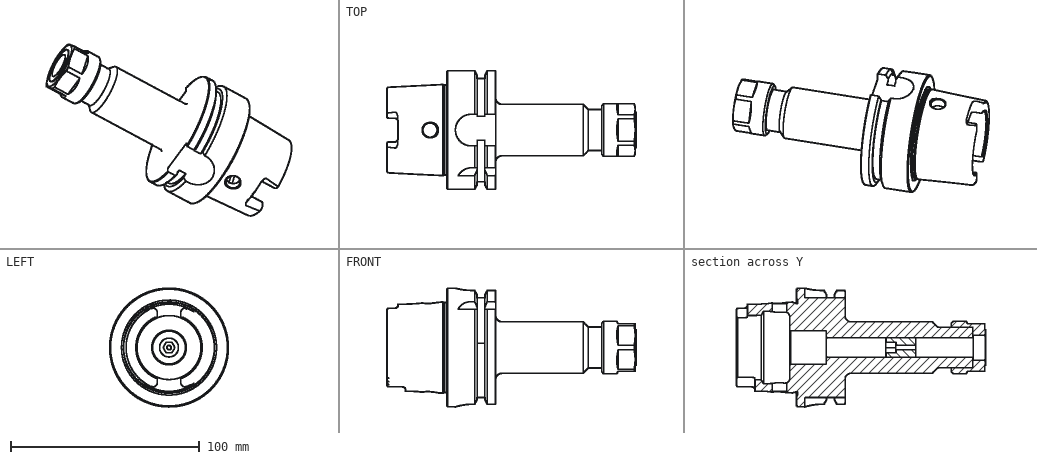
import cadquery as cq
import math


shank_end_radius = 22.7
taper_per_length = 0.05
taper_length = 29.7
relief_start = 30.5
relief_radius = 23.9
shank_end_rounding = 1.0

flange_face = 31.9
flange_end = 57.8
flange_radius = 31.53
flange_rear_chamfer = 0.5
flange_front_chamfer = 0.4

undercut_start = 31.5
undercut_depth = 0.5
undercut_inner_radius = 23.5
undercut_outer_radius = 25.3

groove_start = 47.9
groove_end = 52.0
groove_bevel_length = 1.3
groove_bevel_angle = 60
groove_floor_radius = 27.5
groove_bevel_depth = groove_bevel_length * math.tan(math.radians(groove_bevel_angle))

key_slot_end = 36.4
key_slot_floor = 26.51
key_slot_width_top = 16.8
key_slot_width_bottom = 18.8
key_slot_floor_fillet = 0.5
corner_notch_centre = 45.1
corner_notch_wall = 20.0
corner_notch_floor = 20.2
groove_flat_distance = 21.8
groove_flat_angle = 47.7

extension_radius = 13.7
extension_end = 104.0
root_fillet_radius = 3.2
neck_radius = 11.0
neck_cone_length = extension_radius - neck_radius
nose_end = 125.6

bore_radius = 16.99
bore_chamfer = 0.7
bore_length = 13.2
clamp_groove_radius = 19.0
clamp_groove_slope = 60
shank_bore_depth = 28.3
bore_floor_radius = 15.93
bore_floor_fillet = clamp_groove_radius - bore_floor_radius
cross_hole_x = 22.9
cross_hole_diameter = 7.5
cross_hole_chamfer = 0.7

coolant_bore_radius = 8.7
coolant_bore_chamfer = 0.46
coolant_bore_depth = 47.6
screw_bore_radius = 5.0

notch_depth_top = 5.8
notch_depth_bottom = 9.8
notch_half_width = 6.2
notch_flare_height = 18.5
notch_flare_radius = 2.4
notch_floor_fillet = 1.6
notch_inner_height = 10.6

screw_start = 79.3
screw_length = 15.9
screw_socket_flats = 5.4
screw_socket_depth = 5.3
screw_hole_diameter = 2.2

nut_start = 114.0
nut_end = 132.2
nut_radius = 14.0
nut_rear_chamfer = 1.0
nut_rim_radius = 9.5
nut_rim_height = 0.4
nut_front_chamfer_length = 0.7
nut_front_chamfer_depth = 1.7
nut_flat_distance = 12.7
nut_flat_start = 122.7
nut_flat_ramp = 0.9
nut_flat_ramp_angle = 60
nut_flat_count = 6
nut_opening_radius = 6.5

REACH = 39.7


def turned(profile):
    """Revolve a closed profile, drawn as (X, radius), about the X axis."""
    return profile.close().revolve(360, (0, 0, 0), (1, 0, 0))


def rod(start, end, radius):
    """Cylinder along the X axis."""
    return cq.Workplane("YZ", origin=(start, 0, 0)).circle(radius).extrude(end - start)


def shank_blank():
    """Solid taper with its relief, reaching to the flange face."""
    taper_end_radius = shank_end_radius + taper_per_length * taper_length
    return turned(
        cq.Workplane("XY")
        .lineTo(0, shank_end_radius)
        .lineTo(taper_length, taper_end_radius)
        .lineTo(relief_start, relief_radius)
        .lineTo(flange_face, relief_radius)
        .lineTo(flange_face, 0)
    )


def drive_notch(depth, side):
    """Cutter for one notch; its walls flare outward. side is +1 for +Z, -1 for -Z."""
    flare_y = notch_half_width + notch_flare_radius
    flare_top = notch_flare_height + notch_flare_radius
    bend = notch_flare_radius * math.sqrt(0.5)
    bend_y = flare_y - bend
    bend_z = notch_flare_height + bend
    outline = (
        cq.Workplane("YZ", origin=(-1.3, 0, 0))
        .moveTo(-notch_half_width, side * notch_inner_height)
        .lineTo(-notch_half_width, side * notch_flare_height)
        .threePointArc((-bend_y, side * bend_z), (-flare_y, side * flare_top))
        .lineTo(-REACH / 2, side * flare_top)
        .lineTo(-REACH / 2, side * REACH)
        .lineTo(REACH / 2, side * REACH)
        .lineTo(REACH / 2, side * flare_top)
        .lineTo(flare_y, side * flare_top)
        .threePointArc((bend_y, side * bend_z), (notch_half_width, side * notch_flare_height))
        .lineTo(notch_half_width, side * notch_inner_height)
        .close()
    )
    return outline.extrude(depth + 1.3).faces(">X").edges().fillet(notch_floor_fillet)


def shank():
    body = shank_blank()
    body = body.cut(drive_notch(notch_depth_top, 1))
    body = body.cut(drive_notch(notch_depth_bottom, -1))
    return body.faces("<X").edges().fillet(shank_end_rounding)


def flange_blank():
    """Turned flange with the gripping groove and the front extension down to the nose."""
    bevel_radius = flange_radius - groove_bevel_depth
    bend = root_fillet_radius * (1 - math.sqrt(0.5))
    return turned(
        cq.Workplane("XY")
        .moveTo(flange_face, 0)
        .lineTo(flange_face, flange_radius - flange_rear_chamfer)
        .lineTo(flange_face + flange_rear_chamfer, flange_radius)
        .lineTo(groove_start - groove_bevel_length, flange_radius)
        .lineTo(groove_start, bevel_radius)
        .lineTo(groove_start, groove_floor_radius)
        .lineTo(groove_end, groove_floor_radius)
        .lineTo(groove_end, bevel_radius)
        .lineTo(groove_end + groove_bevel_length, flange_radius)
        .lineTo(flange_end - flange_front_chamfer, flange_radius)
        .lineTo(flange_end, flange_radius - flange_front_chamfer)
        .lineTo(flange_end, extension_radius + root_fillet_radius)
        .threePointArc(
            (flange_end + bend, extension_radius + bend),
            (flange_end + root_fillet_radius, extension_radius),
        )
        .lineTo(extension_end, extension_radius)
        .lineTo(extension_end + neck_cone_length, neck_radius)
        .lineTo(nose_end, neck_radius)
        .lineTo(nose_end, 0)
    )


def face_undercut():
    bottom = flange_face + undercut_depth
    return turned(
        cq.Workplane("XY")
        .moveTo(undercut_start, relief_radius)
        .lineTo(flange_face, undercut_inner_radius)
        .lineTo(bottom, undercut_inner_radius)
        .lineTo(bottom, undercut_outer_radius)
        .lineTo(undercut_start, undercut_outer_radius)
    )


def round_end_cutter(width, centre_x, base_z):
    """Slot cutter standing on base_z, round toward the shank about centre_x, open toward +X."""
    half = width / 2
    return (
        cq.Workplane("XY", origin=(centre_x, 0, base_z))
        .moveTo(REACH, half)
        .lineTo(0, half)
        .threePointArc((-half, 0), (0, -half))
        .lineTo(REACH, -half)
        .close()
        .extrude(REACH)
    )


def key_slot(width):
    cutter = round_end_cutter(width, key_slot_end + width / 2, key_slot_floor)
    return cutter.faces("<Z").edges().fillet(key_slot_floor_fillet)


def corner_notch():
    cutter = round_end_cutter(key_slot_width_top, corner_notch_centre, corner_notch_floor)
    return cutter.translate((0, -corner_notch_wall - key_slot_width_top / 2, 0))


def groove_flat():
    """Cutter for the flat in the groove floor, between +Z and -Y."""
    groove_width = groove_end - groove_start
    block = cq.Workplane("XY").box(groove_width, 2 * REACH, REACH, centered=(False, True, False))
    block = block.translate((groove_start, 0, groove_flat_distance))
    return block.rotate((0, 0, 0), (1, 0, 0), groove_flat_angle)


def shank_bore():
    groove_rise = clamp_groove_radius - bore_radius
    slope_length = groove_rise / math.tan(math.radians(clamp_groove_slope))
    bend = bore_floor_fillet * (1 - math.sqrt(0.5))
    return turned(
        cq.Workplane("XY")
        .lineTo(0, bore_radius + bore_chamfer)
        .lineTo(bore_chamfer, bore_radius)
        .lineTo(bore_length, bore_radius)
        .lineTo(bore_length + slope_length, clamp_groove_radius)
        .lineTo(shank_bore_depth - bore_floor_fillet, clamp_groove_radius)
        .threePointArc(
            (shank_bore_depth - bend, clamp_groove_radius - bend),
            (shank_bore_depth, bore_floor_radius),
        )
        .lineTo(shank_bore_depth, 0)
    )


def coolant_bore():
    return turned(
        cq.Workplane("XY")
        .moveTo(shank_bore_depth, 0)
        .lineTo(shank_bore_depth, coolant_bore_radius + coolant_bore_chamfer)
        .lineTo(shank_bore_depth + coolant_bore_chamfer, coolant_bore_radius)
        .lineTo(coolant_bore_depth, coolant_bore_radius)
        .lineTo(coolant_bore_depth, 0)
    )


def cross_hole():
    """Hole through both shank walls, with its outer mouths widened."""
    hole_radius = cross_hole_diameter / 2
    mouth_radius = hole_radius + cross_hole_chamfer
    surface_height = shank_end_radius + taper_per_length * cross_hole_x
    profile = (
        cq.Workplane("XZ", origin=(cross_hole_x, 0, 0))
        .lineTo(hole_radius, 0)
        .lineTo(hole_radius, surface_height - cross_hole_chamfer)
        .lineTo(mouth_radius, surface_height)
        .lineTo(mouth_radius, REACH)
        .lineTo(0, REACH)
        .close()
    )
    half = profile.revolve(360, (0, 0, 0), (0, 1, 0))
    return half.union(half.mirror("XY"))


def make_holder():
    body = shank().union(flange_blank()).cut(face_undercut())
    body = body.cut(key_slot(key_slot_width_top))
    body = body.cut(key_slot(key_slot_width_bottom).rotate((0, 0, 0), (1, 0, 0), 180))
    body = body.cut(corner_notch()).cut(groove_flat())
    body = body.cut(cross_hole())
    body = body.cut(shank_bore()).cut(coolant_bore())
    return body.cut(rod(coolant_bore_depth, nose_end, screw_bore_radius))


def make_screw():
    screw = rod(screw_start, screw_start + screw_length, screw_bore_radius)
    socket = (
        cq.Workplane("YZ", origin=(screw_start, 0, 0))
        .polygon(6, screw_socket_flats, circumscribed=True)
        .extrude(screw_socket_depth)
        .rotate((0, 0, 0), (1, 0, 0), 30)
    )
    hole = rod(screw_start, screw_start + screw_length, screw_hole_diameter / 2)
    return screw.cut(socket).cut(hole)


def wrench_flat(angle):
    """Cutter for one wrench flat with a sloped run-out toward the shank."""
    ramp_rise = nut_flat_ramp * math.tan(math.radians(nut_flat_ramp_angle))
    return (
        cq.Workplane("XZ", origin=(0, REACH, 0))
        .moveTo(nut_flat_start, nut_flat_distance)
        .lineTo(nut_end + 1.3, nut_flat_distance)
        .lineTo(nut_end + 1.3, nut_flat_distance + ramp_rise)
        .lineTo(nut_flat_start - nut_flat_ramp, nut_flat_distance + ramp_rise)
        .close()
        .extrude(2 * REACH)
        .rotate((0, 0, 0), (1, 0, 0), angle)
    )


def make_nut():
    face = nut_end - nut_rim_height
    nut = turned(
        cq.Workplane("XY")
        .moveTo(nut_start, neck_radius)
        .lineTo(nut_start, nut_radius - nut_rear_chamfer)
        .lineTo(nut_start + nut_rear_chamfer, nut_radius)
        .lineTo(face - nut_front_chamfer_length, nut_radius)
        .lineTo(face, nut_radius - nut_front_chamfer_depth)
        .lineTo(face, nut_rim_radius)
        .lineTo(nut_end, nut_rim_radius)
        .lineTo(nut_end, nut_opening_radius)
        .lineTo(nose_end, nut_opening_radius)
        .lineTo(nose_end, neck_radius)
    )
    for number in range(nut_flat_count):
        nut = nut.cut(wrench_flat(number * 360 / nut_flat_count))
    return nut


holder = make_holder()
screw = make_screw()
nut = make_nut()

result = cq.Compound.makeCompound(
    [holder.solids().val(), screw.solids().val(), nut.solids().val()]
)